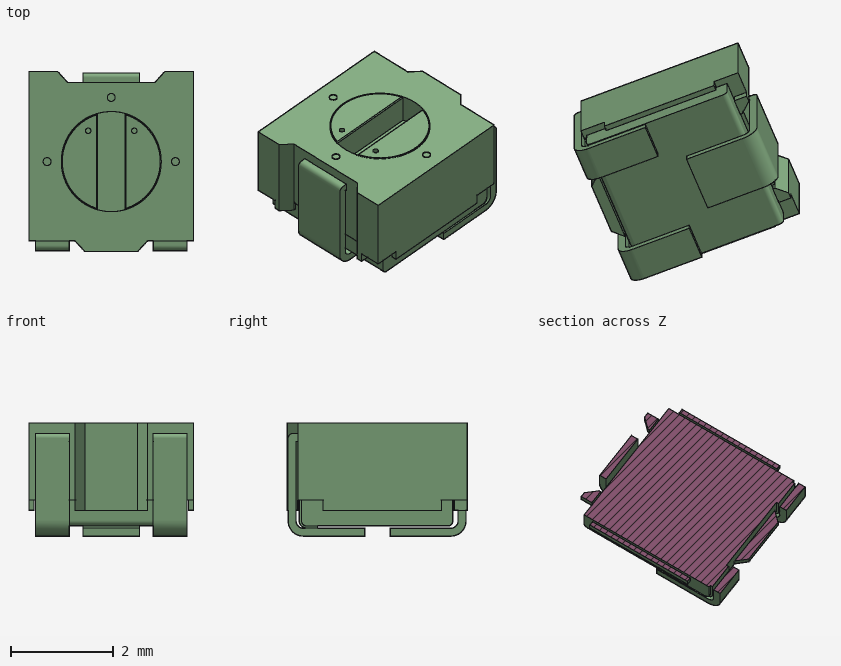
import cadquery as cq


width = 3.2
depth = 3.5
top_z = 2.2
housing_bottom_z = 0.7
skirt_bottom_z = 0.505
wall_step = 0.21
front_wall_y = -depth / 2 + wall_step
notch_floor_y = depth / 2 - wall_step

boss_half_root = 0.707
boss_half_tip = 0.51
notch_half_root = 0.847
notch_half_mouth = 1.04

skirt_thickness = 0.1
skirt_front_y = -1.05
skirt_back_y = 1.245
back_foot_depth = 0.255
back_foot_outer_x = 1.155

base_size = 2.94
base_bottom_z = 0.2
base_edge_radius = 0.098

lead_thickness = 0.158
lead_top_z = 2.0
lead_top_radius = 0.098
lead_bend_radius = 0.298
front_lead_width = 0.658
front_lead_offset = 1.145
front_lead_outer_y = 1.732
front_lead_end_y = 0.24
back_lead_width = 1.105
back_lead_outer_y = 1.725
back_lead_end_y = 0.252

pad_width = 0.567
pad_thickness = 0.05
pad_end_y = -1.16

rotor_radius = 0.973
rotor_edge_chamfer = 0.02
slot_width = 0.525
slot_depth = 0.6
rotor_hole_radius = 0.052
rotor_hole_depth = 0.105
rotor_hole_x = 0.448
rotor_hole_y = 0.6

mark_radius = 0.077
mark_depth = 0.018
mark_distance = 1.245


def box(x_min, x_max, y_min, y_max, z_min, z_max):
    """Axis-aligned box given by its limits."""
    block = cq.Workplane("XY").box(x_max - x_min, y_max - y_min, z_max - z_min, centered=False)
    return block.translate((x_min, y_min, z_min))


def prism(points, z_min, z_max):
    """Upright prism on a plan outline."""
    return cq.Workplane("XY").workplane(offset=z_min).polyline(points).close().extrude(z_max - z_min)


def make_housing():
    half = width / 2
    body = box(-half, half, front_wall_y, depth / 2, housing_bottom_z, top_z)
    notch = [
        (-notch_half_mouth, depth / 2),
        (-notch_half_root, notch_floor_y),
        (notch_half_root, notch_floor_y),
        (notch_half_mouth, depth / 2),
    ]
    boss = [
        (-boss_half_root, front_wall_y),
        (-boss_half_tip, -depth / 2),
        (boss_half_tip, -depth / 2),
        (boss_half_root, front_wall_y),
    ]
    body = body.union(prism(boss, skirt_bottom_z, top_z))
    skirt = box(
        half - skirt_thickness, half,
        skirt_front_y, skirt_back_y,
        skirt_bottom_z, housing_bottom_z,
    )
    back_foot = box(
        notch_half_root, back_foot_outer_x,
        depth / 2 - back_foot_depth, depth / 2,
        skirt_bottom_z, housing_bottom_z,
    )
    for below in (skirt, back_foot):
        body = body.union(below).union(below.mirror("YZ"))
    return body.cut(prism(notch, skirt_bottom_z, top_z))


def make_base():
    half = base_size / 2
    base = box(-half, half, -half, half, base_bottom_z, housing_bottom_z)
    return base.edges("<Z and |X").fillet(base_edge_radius)


def make_lead(lead_width, outer_y, end_y, wall_y):
    """Lead on the front side, centred on X: top tab, upright strip and foot turned under the base."""
    inner_y = -outer_y + lead_thickness
    side = (
        cq.Workplane("YZ")
        .moveTo(wall_y, lead_top_z)
        .lineTo(-outer_y + lead_top_radius, lead_top_z)
        .radiusArc((-outer_y, lead_top_z - lead_top_radius), -lead_top_radius)
        .lineTo(-outer_y, lead_bend_radius)
        .radiusArc((-outer_y + lead_bend_radius, 0), -lead_bend_radius)
        .lineTo(-end_y, 0)
        .lineTo(-end_y, lead_thickness)
        .lineTo(-outer_y + lead_bend_radius, lead_thickness)
        .radiusArc((inner_y, lead_bend_radius), lead_bend_radius - lead_thickness)
        .lineTo(inner_y, lead_top_z - lead_thickness)
        .lineTo(wall_y, lead_top_z - lead_thickness)
        .close()
    )
    return side.extrude(lead_width / 2, both=True)


def make_pad():
    """Contact pad around the lower front edge of the base, resting on a lead foot, centred on X."""
    pad = box(
        -pad_width / 2, pad_width / 2,
        -base_size / 2 - pad_thickness, pad_end_y,
        lead_thickness, housing_bottom_z,
    )
    return pad.edges("<Z and <Y").fillet(base_edge_radius + pad_thickness)


def cut_rotor(body):
    """Edge chamfers, driver slot and two small holes of the rotor."""
    top = cq.Workplane("XY").workplane(offset=top_z)
    half_slot = slot_width / 2
    slot_section = (
        cq.Workplane("XZ")
        .polyline([
            (-half_slot - rotor_edge_chamfer, top_z),
            (-half_slot, top_z - rotor_edge_chamfer),
            (-half_slot, top_z - slot_depth),
            (half_slot, top_z - slot_depth),
            (half_slot, top_z - rotor_edge_chamfer),
            (half_slot + rotor_edge_chamfer, top_z),
        ])
        .close()
        .extrude(rotor_radius, both=True)
    )
    slot = slot_section.intersect(top.circle(rotor_radius).extrude(-slot_depth))
    rim_chamfer = (
        cq.Workplane("XZ")
        .polyline([
            (rotor_radius - rotor_edge_chamfer, top_z),
            (rotor_radius, top_z),
            (rotor_radius, top_z - rotor_edge_chamfer),
        ])
        .close()
        .revolve(360, (0, 0, 0), (0, 1, 0))
    )
    hole_places = [(-rotor_hole_x, rotor_hole_y), (rotor_hole_x, rotor_hole_y)]
    holes = top.pushPoints(hole_places).circle(rotor_hole_radius).extrude(-rotor_hole_depth)
    return body.cut(slot).cut(rim_chamfer).cut(holes)


def cut_marks(body):
    """Shallow round marks left of, behind and right of the rotor."""
    places = [(-mark_distance, 0), (0, mark_distance), (mark_distance, 0)]
    marks = cq.Workplane("XY").workplane(offset=top_z).pushPoints(places)
    return body.cut(marks.circle(mark_radius).extrude(-mark_depth))


result = make_housing().union(make_base())
result = cut_rotor(result)
result = cut_marks(result)

front_lead = make_lead(front_lead_width, front_lead_outer_y, front_lead_end_y, front_wall_y)
pad = make_pad()
for x in (-front_lead_offset, front_lead_offset):
    result = result.union(pad.translate((x, 0, 0)))
    result = result.union(front_lead.translate((x, 0, 0)))

back_lead = make_lead(back_lead_width, back_lead_outer_y, back_lead_end_y, -notch_floor_y)
result = result.union(back_lead.mirror("XZ"))